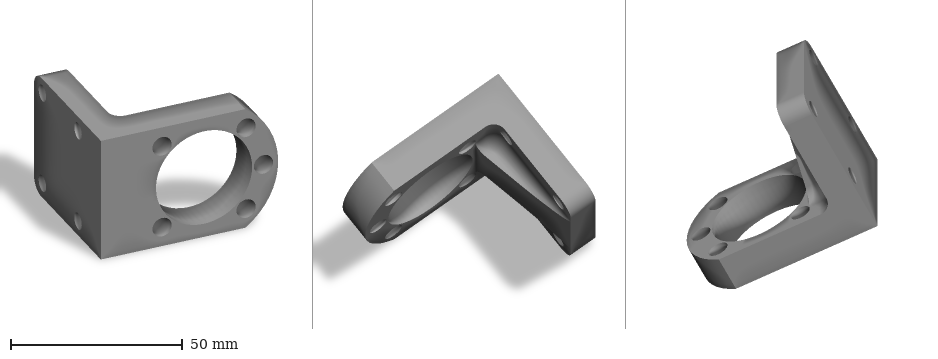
import cadquery as cq
import math

length_x = 47.0
depth_y = 56.7
height_z = 39.4

base_thickness = 9.0
corner_radius = 5.0
mount_hole_diameter = 5.2
mount_hole_edge_distance = 6.0
mount_hole_spacing_x = 25.0
mount_hole_spacing_z = 30.0

ring_plate_thickness = 11.0
bore_diameter = 30.75
ring_outer_radius = 23.7
bolt_hole_diameter = 6.1
bolt_circle_radius = 19.0
bolt_angles = (45, 135, 180, 225, 315)

gusset_width = 16.0
gusset_rise = 7.6
inner_fillet = 4.0

ring_plate_x = length_x - ring_plate_thickness
bore_y = depth_y - ring_outer_radius
half_height = height_z / 2


def make_body():
    """Extrude the L-shaped outline with the gusset filled in over the full height."""
    return (
        cq.Workplane("XY", origin=(0, 0, -half_height))
        .polyline([
            (0, 0),
            (length_x, 0),
            (length_x, depth_y),
            (ring_plate_x, depth_y),
            (ring_plate_x, base_thickness + gusset_rise),
            (0, base_thickness),
        ])
        .close()
        .extrude(height_z)
    )


def make_gusset_relief():
    """Pocket above the gusset, rounded where its walls meet both plates and the gusset."""
    gusset_side = gusset_width / 2
    overrun = 3 * inner_fillet
    pocket = cq.Workplane("XY").box(
        ring_plate_x + overrun,
        gusset_rise + overrun,
        half_height - gusset_side + overrun,
        centered=False,
    )
    pocket = pocket.translate((-overrun, base_thickness, gusset_side))
    base_gusset_edge = pocket.faces("<Y").edges("<Z")
    plate_edges = pocket.faces(">X").edges("<Y or <Z")
    return base_gusset_edge.add(plate_edges).fillet(inner_fillet)


def make_ring_envelope():
    """Outer limit of the part along Y: a block ending in an arc concentric with the bore."""
    block = cq.Workplane("XY").box(length_x, bore_y, height_z, centered=(False, False, True))
    arc_end = cylinder_along_x(ring_outer_radius, bore_y, 0)
    return block.union(arc_end)


def cylinder_along_x(radius, y, z):
    return cq.Workplane("YZ").center(y, z).circle(radius).extrude(length_x)


def round_mounting_corners(body):
    return body.faces("<X").edges("|Y").fillet(corner_radius)


def cut_mounting_holes(body):
    for x in (mount_hole_edge_distance, mount_hole_edge_distance + mount_hole_spacing_x):
        for z in (-mount_hole_spacing_z / 2, mount_hole_spacing_z / 2):
            hole = cq.Workplane("XZ").center(x, z).circle(mount_hole_diameter / 2).extrude(-depth_y)
            body = body.cut(hole)
    return body


def cut_ring_holes(body):
    """Cut the bore and bolt holes through the ring plate, clear of the mounting plate."""
    body = body.cut(cylinder_along_x(bore_diameter / 2, bore_y, 0))
    for angle in bolt_angles:
        y = bore_y - bolt_circle_radius * math.cos(math.radians(angle))
        z = bolt_circle_radius * math.sin(math.radians(angle))
        body = body.cut(cylinder_along_x(bolt_hole_diameter / 2, y, z))
    return body


upper_relief = make_gusset_relief()
lower_relief = upper_relief.mirror("XY")
result = make_body().cut(upper_relief).cut(lower_relief)
result = result.intersect(make_ring_envelope())
result = round_mounting_corners(result)
result = cut_mounting_holes(result)
result = cut_ring_holes(result)